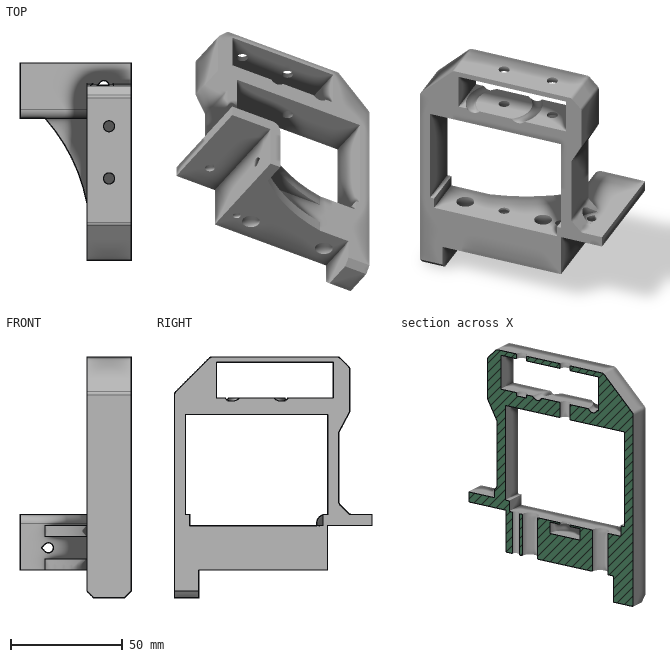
import cadquery as cq
import math

WIDTH = 50.0
DEPTH = 89.0
HEIGHT = 108.5
WALL = 5.0

FRAME_WIDTH = 20.0
FRAME_LEFT = WIDTH - FRAME_WIDTH
FRAME_CENTRE = WIDTH - FRAME_WIDTH / 2
HEAD_BACK = 79.0
COLUMN_BACK = 74.0
FRONT_CHAMFER = 16.3
BACK_CHAMFER = 5.0
CORNER_RADIUS = 2.0
HEAD_TAPER_TOP = 83.8
HEAD_TAPER_BOTTOM = 74.4
LEG_DEPTH = 11.0
LEG_CHAMFER = 3.0

BASE_BOTTOM = 12.5
BASE_TOP = 32.5
FLANGE_TOP = BASE_TOP + WALL
PLATE_BACK = 69.0
PLATE_FRONT = PLATE_BACK - WALL
PLATE_BEND_RADIUS = 4.0

GUSSET_REACH_X = 11.2
GUSSET_REACH_Y = 25.8
GUSSET_MIDDLE = (23.5, 45.5)

FOOT_LANDING = 1.0
FOOT_TOP = FLANGE_TOP + HEAD_BACK - COLUMN_BACK
FOOT_END = HEAD_BACK + FOOT_LANDING

WINDOW_FRONT = WALL
WINDOW_TOP = 82.5
WINDOW_STEP = 2.0
SLOT_FRONT = 19.0
SLOT_BACK = 71.5
SLOT_BOTTOM = 90.0
SLOT_TOP = 106.0

SCREW_DIAMETER = 5.0
SCREW_FRONT_Y = 37.0
SCREW_PITCH = 23.5
SCREW_BACK_Y = SCREW_FRONT_Y + SCREW_PITCH
BLIND_SCREW_DEPTH = 1.5
BASE_HOLE_DIAMETER = 8.0
BASE_HOLE_PITCH = 38.0
MAGNET_DIAMETER = 16.0
MAGNET_HEIGHT = 5.2
MAGNET_SKIN = 1.0

RING_RADIUS = 15.0
RING_TUBE_RADIUS = 2.5
RING_DEPTH = 1.5

PLATE_HOLE_DIAMETER = 4.4
PLATE_HOLE_X = 12.7
FLANGE_HOLE_X = PLATE_HOLE_X + WIDTH / 2
FLANGE_HOLE_Y = 78.8
SCREW_HEAD_DIAMETER = 8.5
BASE_TEARDROP_DIAMETER = 3.5
BASE_TEARDROP_X = 39.7
BASE_TEARDROP_Y = 63.6


def box(x_range, y_range, z_range):
    """Axis-aligned box from its limits."""
    size = [end - start for start, end in (x_range, y_range, z_range)]
    corner = (x_range[0], y_range[0], z_range[0])
    return cq.Workplane("XY").box(*size, centered=False).translate(corner)


def cylinder(diameter, x, y, bottom, top):
    """Vertical cylinder between two heights."""
    return cq.Workplane("XY", origin=(x, y, bottom)).circle(diameter / 2).extrude(top - bottom)


def teardrop(diameter, length):
    """Teardrop prism along +Z, centred on the Z axis, with a 90 degree point towards -X."""
    radius = diameter / 2
    tangent = radius / math.sqrt(2)
    return (
        cq.Workplane("XY")
        .moveTo(-tangent, -tangent)
        .threePointArc((radius, 0), (-tangent, tangent))
        .lineTo(-radius * math.sqrt(2), 0)
        .close()
        .extrude(length)
    )


def frame_body():
    outline = [
        (0, 0),
        (LEG_DEPTH, 0),
        (LEG_DEPTH, BASE_BOTTOM),
        (PLATE_BACK, BASE_BOTTOM),
        (PLATE_BACK, BASE_TOP),
        (FOOT_END, BASE_TOP),
        (FOOT_END, FLANGE_TOP),
        (HEAD_BACK, FLANGE_TOP),
        (COLUMN_BACK, FOOT_TOP),
        (COLUMN_BACK, HEAD_TAPER_BOTTOM),
        (HEAD_BACK, HEAD_TAPER_TOP),
        (HEAD_BACK, HEIGHT),
        (0, HEIGHT),
    ]
    body = (
        cq.Workplane("YZ", origin=(FRAME_LEFT, 0, 0))
        .polyline(outline)
        .close()
        .extrude(FRAME_WIDTH)
    )
    body = body.faces(">Z").edges("<Y").chamfer(FRONT_CHAMFER)
    body = body.faces(">Z").edges(">Y").chamfer(BACK_CHAMFER)
    front_corner = (FRAME_CENTRE, 0, HEIGHT - FRONT_CHAMFER)
    front_top_corner = (FRAME_CENTRE, FRONT_CHAMFER, HEIGHT)
    back_top_corner = (FRAME_CENTRE, HEAD_BACK - BACK_CHAMFER, HEIGHT)
    back_corner = (FRAME_CENTRE, HEAD_BACK, HEIGHT - BACK_CHAMFER)
    foot_corner = (FRAME_CENTRE, HEAD_BACK, FLANGE_TOP)
    column_corner = (FRAME_CENTRE, COLUMN_BACK, FOOT_TOP)
    head_corners = (front_corner, front_top_corner, back_top_corner, back_corner)
    for corner in (*head_corners, foot_corner, column_corner):
        body = body.edges(cq.NearestToPointSelector(corner)).fillet(CORNER_RADIUS)
    return body.faces("<Z").edges("|Y").chamfer(LEG_CHAMFER)


def frame_openings():
    across = (FRAME_LEFT, WIDTH)
    slot = box(across, (SLOT_FRONT, SLOT_BACK), (SLOT_BOTTOM, SLOT_TOP))
    window = box(across, (WINDOW_FRONT, PLATE_BACK), (FLANGE_TOP, WINDOW_TOP))
    step = box(
        across,
        (WINDOW_FRONT + WINDOW_STEP, PLATE_BACK - WINDOW_STEP),
        (BASE_TOP, FLANGE_TOP),
    )
    return slot.union(window).union(step)


def angle_plate():
    """Horizontal flange and vertical plate joined by a rounded bend beside the frame."""
    flange = box((0, WIDTH), (PLATE_BACK, DEPTH), (BASE_TOP, FLANGE_TOP))
    plate = box((0, FRAME_LEFT), (PLATE_FRONT, PLATE_BACK), (BASE_BOTTOM, FLANGE_TOP))
    plate = plate.faces(">Z").edges("<Y").fillet(PLATE_BEND_RADIUS)
    return flange.union(plate)


def gusset_webs():
    """Two horizontal webs with a concave edge between plate and frame."""
    web = (
        cq.Workplane("XY")
        .moveTo(FRAME_LEFT, PLATE_FRONT)
        .lineTo(GUSSET_REACH_X, PLATE_FRONT)
        .threePointArc(GUSSET_MIDDLE, (FRAME_LEFT, GUSSET_REACH_Y))
        .close()
        .extrude(WALL)
    )
    lower = web.translate((0, 0, BASE_BOTTOM))
    upper = web.translate((0, 0, BASE_TOP - WALL))
    return lower.union(upper)


def head_holes():
    front = cylinder(SCREW_DIAMETER, FRAME_CENTRE, SCREW_FRONT_Y, WINDOW_TOP, HEIGHT)
    blind_bottom = SLOT_BOTTOM - BLIND_SCREW_DEPTH
    back = cylinder(SCREW_DIAMETER, FRAME_CENTRE, SCREW_BACK_Y, blind_bottom, HEIGHT)
    return front.union(back)


def ring_groove():
    centre_height = SLOT_BOTTOM - RING_DEPTH + RING_TUBE_RADIUS
    ring = cq.Solid.makeTorus(RING_RADIUS, RING_TUBE_RADIUS)
    return cq.Workplane(ring).translate((FRAME_CENTRE, SCREW_FRONT_Y, centre_height))


def base_holes():
    skin_bottom = BASE_TOP - MAGNET_SKIN
    pocket_bottom = skin_bottom - MAGNET_HEIGHT
    cuts = cylinder(SCREW_DIAMETER, FRAME_CENTRE, SCREW_FRONT_Y, skin_bottom, BASE_TOP)
    pocket = cylinder(MAGNET_DIAMETER, FRAME_CENTRE, SCREW_FRONT_Y, pocket_bottom, skin_bottom)
    cuts = cuts.union(pocket)
    for side in (-1, 1):
        y = SCREW_FRONT_Y + side * BASE_HOLE_PITCH / 2
        cuts = cuts.union(cylinder(BASE_HOLE_DIAMETER, FRAME_CENTRE, y, BASE_BOTTOM, BASE_TOP))
    drop = teardrop(BASE_TEARDROP_DIAMETER, BASE_TOP - BASE_BOTTOM)
    return cuts.union(drop.translate((BASE_TEARDROP_X, BASE_TEARDROP_Y, BASE_BOTTOM)))


def flange_hole():
    """Vertical screw hole in the flange, with head clearance in the frame foot above it."""
    x = FLANGE_HOLE_X
    y = FLANGE_HOLE_Y
    hole = teardrop(PLATE_HOLE_DIAMETER, WALL).translate((x, y, BASE_TOP))
    clearance_height = FOOT_TOP - FLANGE_TOP
    clearance = teardrop(SCREW_HEAD_DIAMETER, clearance_height).translate((x, y, FLANGE_TOP))
    return hole.union(clearance)


def plate_hole():
    """Horizontal screw hole through the vertical plate."""
    centre = (PLATE_HOLE_X, PLATE_BACK, (BASE_BOTTOM + BASE_TOP) / 2)
    hole = teardrop(PLATE_HOLE_DIAMETER, WALL).rotate((0, 0, 0), (1, 0, 0), 90)
    return hole.translate(centre)


result = frame_body().cut(frame_openings()).union(angle_plate()).union(gusset_webs())
for cutter in (head_holes(), ring_groove(), base_holes(), flange_hole(), plate_hole()):
    result = result.cut(cutter)